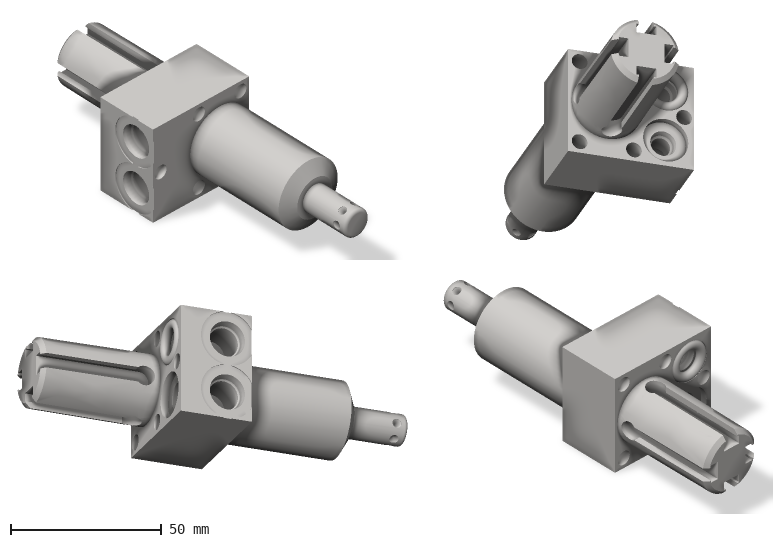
import cadquery as cq
import math


block_length = 25.4
block_height = 38.1
block_top_y = 13.5
block_bottom_y = -30.5
block_depth = block_top_y - block_bottom_y

front_end_x = -42.0
front_radius = 12.0
front_root_radius = 12.3
front_chamfer_length = 1.5
front_chamfer_depth = 1.6
barrel_radius = block_top_y
barrel_end_x = 68.1
nose_length = 3.2
nose_radius = 8.0
tip_radius = 5.5
total_length = 133.7
tip_end_x = front_end_x + total_length
tip_rounding = 1.2

slot_count = 4
slot_mouth_width = 5.2
slot_inner_width = 7.0
slot_floor_radius = 6.3
slot_lip_radius = 9.5
slot_end_x = -5.3

dimple_count = 6
dimple_radius = 1.6
dimple_depth = 1.6
dimple_x = 87.6

bolt_hole_diameter = 5.5
corner_hole_y = 9.5
corner_hole_z = 15.0
side_hole_y = -27.0
bolt_hole_places = [(y, z) for y in (-corner_hole_y, corner_hole_y) for z in (-corner_hole_z, corner_hole_z)]
bolt_hole_places.append((side_hole_y, 0))

passage_z = block_height / 4
face_port_y = -20.6
seat_radius = 7.9
seat_depth = 2.7
face_port_radius = 4.5
face_port_root_radius = 4.0
face_port_depth = 2.1
face_bore_radius = 3.3
side_port_x = 16.8
spot_face_radius = 9.6
spot_face_depth = 0.4
side_port_radius = 6.3
side_port_root_radius = 5.8
side_port_depth = 3.5
side_bore_radius = 5.2
side_bore_depth = 16.0

ring_section_radius = 1.7


def bored_tool(profile):
    """Solid of revolution about +Z from (radius, depth) pairs, deepening along +Z from the origin."""
    points = [(0, profile[0][1])] + profile + [(0, profile[-1][1])]
    return cq.Workplane("XZ").polyline(points).close().revolve(360, (0, 0, 0), (0, 1, 0))


def make_round_stages():
    outline = [
        (front_end_x, 0),
        (front_end_x, front_radius - front_chamfer_depth),
        (front_end_x + front_chamfer_length, front_radius),
        (0, front_root_radius),
        (0, barrel_radius),
        (barrel_end_x, barrel_radius),
        (barrel_end_x + nose_length, nose_radius),
        (barrel_end_x + nose_length, tip_radius),
        (tip_end_x, tip_radius),
        (tip_end_x, 0),
    ]
    stages = cq.Workplane("XY").polyline(outline).close().revolve(360, (0, 0, 0), (1, 0, 0))
    return stages.faces(">X").edges().fillet(tip_rounding)


def make_block():
    return cq.Workplane("XY").box(block_length, block_depth, block_height, centered=(False, False, True)).translate(
        (0, block_bottom_y, 0)
    )


def make_t_slot():
    """Slot opening upward (+Z) and through the front end, with a round full-width entry at its inner end."""
    length = slot_end_x - front_end_x
    mid_x = (slot_end_x + front_end_x) / 2
    lip_height = slot_lip_radius - slot_floor_radius
    full_height = front_root_radius - slot_floor_radius
    floor = cq.Workplane("XY").workplane(offset=slot_floor_radius)
    inner = floor.center(mid_x, 0).rect(length, slot_inner_width).extrude(lip_height)
    mouth = floor.center(mid_x, 0).rect(length, slot_mouth_width).extrude(full_height)
    entry = floor.center(slot_end_x, 0).circle(slot_inner_width / 2).extrude(full_height)
    return inner.union(mouth).union(entry)


def make_dimple():
    """Conical dimple at the top (+Z) of the tip, its mouth lying on the tip surface."""
    mouth_z = math.sqrt(tip_radius**2 - dimple_radius**2)
    cone = cq.Solid.makeCone(
        dimple_radius, 0, dimple_depth, pnt=cq.Vector(dimple_x, 0, mouth_z), dir=cq.Vector(0, 0, -1)
    )
    skin = cq.Workplane("XY").workplane(offset=mouth_z).center(dimple_x, 0).circle(dimple_radius).extrude(1.3)
    return skin.union(cq.Workplane(obj=cone))


def around_axis(body, count, first_angle):
    """Copies of a body spaced evenly around the X axis."""
    step = 360 / count
    return [body.rotate((0, 0, 0), (1, 0, 0), first_angle + i * step) for i in range(count)]


def make_bolt_holes():
    return (
        cq.Workplane("YZ")
        .pushPoints(bolt_hole_places)
        .circle(bolt_hole_diameter / 2)
        .extrude(block_length)
    )


def make_passage(z):
    """Ring seat and bore from the -X face, meeting a spot-faced side port from the -Y face."""
    face_port = bored_tool([
        (seat_radius, 0),
        (seat_radius, seat_depth),
        (face_port_radius, seat_depth),
        (face_port_root_radius, seat_depth + face_port_depth),
        (face_bore_radius, seat_depth + face_port_depth + face_port_root_radius - face_bore_radius),
        (face_bore_radius, side_port_x),
    ])
    side_port = bored_tool([
        (spot_face_radius, 0),
        (spot_face_radius, spot_face_depth),
        (side_port_radius, spot_face_depth),
        (side_port_root_radius, side_port_depth),
        (side_bore_radius, side_port_depth + side_port_root_radius - side_bore_radius),
        (side_bore_radius, side_bore_depth),
    ])
    face_port = face_port.rotate((0, 0, 0), (0, 1, 0), 90).translate((0, face_port_y, z))
    side_port = side_port.rotate((0, 0, 0), (1, 0, 0), -90).translate((side_port_x, block_bottom_y, z))
    return face_port.union(side_port)


def make_valve():
    valve = make_round_stages().union(make_block())
    for slot in around_axis(make_t_slot(), slot_count, 0):
        valve = valve.cut(slot)
    for dimple in around_axis(make_dimple(), dimple_count, 90):
        valve = valve.cut(dimple)
    valve = valve.cut(make_bolt_holes())
    for z in (-passage_z, passage_z):
        valve = valve.cut(make_passage(z))
    return valve


def make_o_ring():
    """Ring lying on the floor of the upper seat and standing proud of the block face."""
    centre = cq.Vector(seat_depth - ring_section_radius, face_port_y, passage_z)
    ring = cq.Solid.makeTorus(seat_radius - ring_section_radius, ring_section_radius, centre, cq.Vector(1, 0, 0))
    return cq.Workplane(obj=ring)


valve = make_valve()
o_ring = make_o_ring()
result = cq.Compound.makeCompound([valve.val(), o_ring.val()])